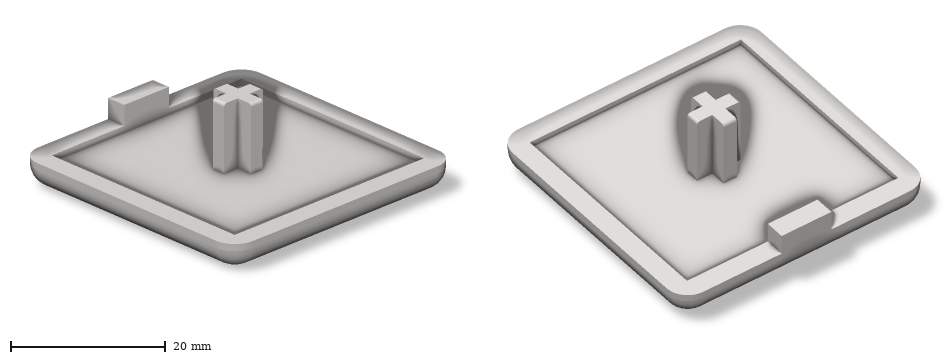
import cadquery as cq

plate_side = 40.0
plate_height = 4.0
corner_radius = 3.4
bottom_radius = 3.0

rim_width = 3.0
recess_depth = 1.0
recess_side = plate_side - 2 * rim_width
floor_height = plate_height - recess_depth

tab_length = 8.0
tab_height = 3.0

total_height = 13.0
cross_span = 7.0
arm_width = 2.1
arm_end_radius = 0.5


def make_plate():
    plate = (
        cq.Workplane("XY")
        .rect(plate_side, plate_side)
        .extrude(plate_height)
        .edges("|Z")
        .fillet(corner_radius)
        .faces("<Z")
        .edges()
        .fillet(bottom_radius)
    )
    recess = (
        cq.Workplane("XY")
        .workplane(offset=floor_height)
        .rect(recess_side, recess_side)
        .extrude(recess_depth)
    )
    return plate.cut(recess)


def make_tab():
    return (
        cq.Workplane("XY")
        .workplane(offset=plate_height)
        .center((rim_width - plate_side) / 2, 0)
        .rect(rim_width, tab_length)
        .extrude(tab_height)
    )


def make_cross_bar():
    """One bar of the cross along X, with its two upper end edges rounded."""
    return (
        cq.Workplane("XY")
        .workplane(offset=floor_height)
        .rect(cross_span, arm_width)
        .extrude(total_height - floor_height)
        .faces(">Z")
        .edges("|Y")
        .fillet(arm_end_radius)
    )


cross_bar = make_cross_bar()
crossing_bar = cross_bar.rotate((0, 0, 0), (0, 0, 1), 90)
result = make_plate().union(make_tab()).union(cross_bar).union(crossing_bar)